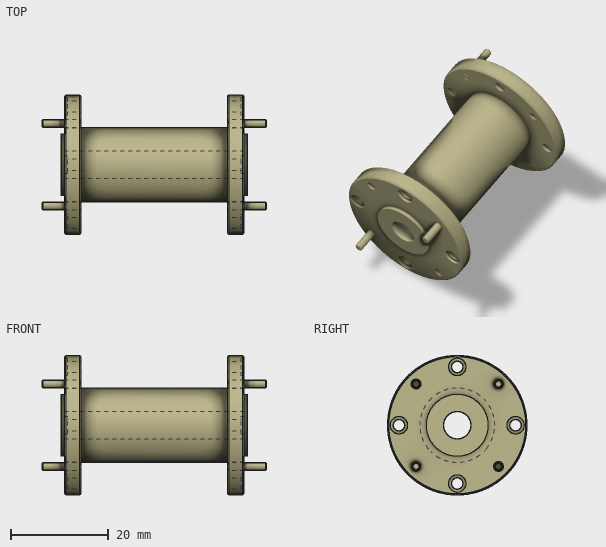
import cadquery as cq

overall_length = 45.85
face_to_face = 36.65
flange_diameter = 28.55
flange_thickness = 3.35
flange_chamfer = 0.28
tube_diameter = 15.25
boss_diameter = 12.65
boss_height = 0.75
bore_diameter = 5.55

pitch_radius = 11.9
screw_hole_diameter = 2.3
counterbore_diameter = 3.58
counterbore_depth = 0.55
open_dowel_hole_diameter = 1.75
pin_diameter = 1.6
pin_chamfer = 0.2
dowel_hole_chamfer = 0.15

pin_length = (overall_length - face_to_face) / 2 + flange_thickness
flange_outer_x = face_to_face / 2
flange_inner_x = flange_outer_x - flange_thickness

END_TURNS = (0, 180)
SCREW_ANGLES = (0, 90, 180, 270)
PIN_ANGLES = (45, 225)
OPEN_DOWEL_ANGLES = (135, 315)


def x_cylinder(diameter, start_x, length):
    """Cylinder on the X axis, growing towards +X from start_x."""
    return cq.Workplane("YZ", origin=(start_x, 0, 0)).circle(diameter / 2).extrude(length)


def turn_to_end(body, turn):
    return body.rotate((0, 0, 0), (0, 0, 1), turn)


def place_on_pitch_circle(body, angle):
    return body.translate((0, pitch_radius, 0)).rotate((0, 0, 0), (1, 0, 0), angle)


def drill(flange, cutter, angles):
    for angle in angles:
        flange = flange.cut(place_on_pitch_circle(cutter, angle))
    return flange


def dowel_hole_cutter(diameter):
    """Through hole, countersunk slightly at the outer flange face."""
    hole = x_cylinder(diameter, flange_inner_x, flange_thickness)
    lip_radius = diameter / 2 + dowel_hole_chamfer
    lip = cq.Workplane(
        cq.Solid.makeCone(
            lip_radius, diameter / 2, dowel_hole_chamfer, cq.Vector(flange_outer_x, 0, 0), cq.Vector(-1, 0, 0)
        )
    )
    return hole.union(lip)


def make_flange():
    """Flange at the +X end, with its boss and its holes."""
    disc = x_cylinder(flange_diameter, flange_inner_x, flange_thickness).edges().chamfer(flange_chamfer)
    flange = disc.union(x_cylinder(boss_diameter, flange_outer_x, boss_height))

    screw_hole = x_cylinder(screw_hole_diameter, flange_inner_x, flange_thickness)
    counterbore = x_cylinder(counterbore_diameter, flange_outer_x - counterbore_depth, counterbore_depth)
    flange = drill(flange, screw_hole.union(counterbore), SCREW_ANGLES)

    flange = drill(flange, dowel_hole_cutter(pin_diameter), PIN_ANGLES)
    return drill(flange, dowel_hole_cutter(open_dowel_hole_diameter), OPEN_DOWEL_ANGLES)


def make_spool():
    """Tube and both flanges as one solid, bored from end to end."""
    spool = x_cylinder(tube_diameter, -flange_inner_x, 2 * flange_inner_x)
    for turn in END_TURNS:
        spool = spool.union(turn_to_end(make_flange(), turn))
    return spool.cut(x_cylinder(bore_diameter, -overall_length / 2, overall_length))


def make_pin(angle, turn):
    """Dowel pin flush with the inner flange face, chamfered at both ends."""
    pin = x_cylinder(pin_diameter, flange_inner_x, pin_length).faces("<X or >X").chamfer(pin_chamfer)
    return turn_to_end(place_on_pitch_circle(pin, angle), turn)


spool = make_spool()
pins = [make_pin(angle, turn) for turn in END_TURNS for angle in PIN_ANGLES]

result = cq.Compound.makeCompound([spool.val(), *[pin.val() for pin in pins]])